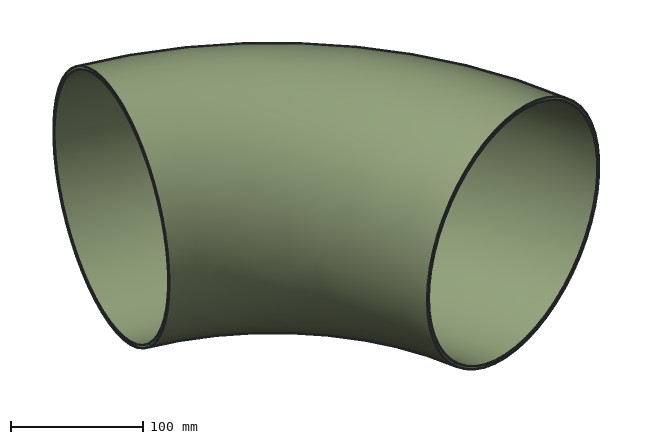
import cadquery as cq

OUTER_DIAMETER = 219.1
WALL_THICKNESS = 2.6
BEND_RADIUS = 305.0
BEND_ANGLE = 60.0

outer_radius = OUTER_DIAMETER / 2
inner_radius = outer_radius - WALL_THICKNESS


def make_elbow():
    """Sweep the pipe ring about a vertical bend axis, from the XZ plane toward +Y and +X."""
    ring = cq.Workplane("XZ").circle(outer_radius).circle(inner_radius)
    axis_start = (BEND_RADIUS, 0, 0)
    axis_end = (BEND_RADIUS, -1, 0)
    return ring.revolve(BEND_ANGLE, axis_start, axis_end)


result = make_elbow()